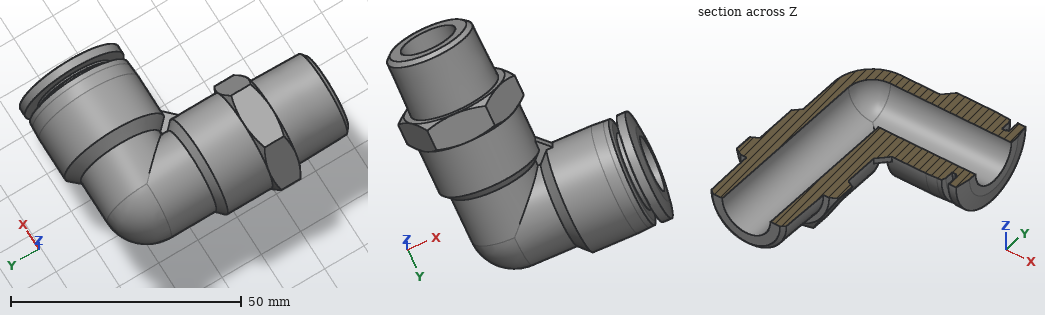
import cadquery as cq
import math

elbow_radius = 10.2
bore_radius = 6.5

shoulder_start = 11.5
shoulder_end = 13.3
swivel_radius = 12.0
hex_start = 24.7
hex_end = 31.8
hex_corner_radius = 13.9
hex_chamfer_angle = 30
thread_root_radius = 10.5
thread_tip_radius = 10.2
thread_chamfer_start = 44.85
thread_chamfer_radius = 9.15
thread_end = 45.8

socket_cone_start = 10.8
socket_radius = 12.75
socket_cone_end = socket_cone_start + socket_radius - elbow_radius
socket_taper_start = 24.0
cap_start = 26.8
cap_radius = 12.6
cap_chamfer_start = 28.05
cap_chamfer_radius = 12.55
cap_end = 28.4
cap_end_radius = 11.4
neck_radius = 9.1
neck_step_start = 29.45
neck_step_radius = 9.35
flange_start = 30.0
flange_radius = 12.65
flange_rim_end = 32.1
flange_face_radius = 8.8
socket_end = 32.8

gusset_thickness = 2.75
gusset_reach = 27.6


def turned_socket(profile):
    """Solid of revolution about X from (distance, radius) points."""
    points = [(profile[0][0], 0), *profile, (profile[-1][0], 0)]
    return cq.Workplane("XY").polyline(points).close().revolve(360, (0, 0), (1, 0))


def turned_thread_leg(profile):
    """Solid of revolution about Y from (distance, radius) points going toward -Y."""
    points = [(radius, -distance) for distance, radius in profile]
    points = [(0, -profile[0][0]), *points, (0, -profile[-1][0])]
    return cq.Workplane("XY").polyline(points).close().revolve(360, (0, 0), (0, 1))


def mitred_elbow(radius, socket_length, thread_length):
    """Two round legs crossing at the origin, with a ball closing the outer corner."""
    socket_leg = turned_socket([(0, radius), (socket_length, radius)])
    thread_leg = turned_thread_leg([(0, radius), (thread_length, radius)])
    return socket_leg.union(thread_leg).union(cq.Workplane("XY").sphere(radius))


def make_hex():
    height = hex_end - hex_start
    prism = (
        cq.Workplane("XZ", origin=(0, -hex_start, 0))
        .polygon(6, 2 * hex_corner_radius)
        .extrude(height)
    )
    chamfer_depth = (hex_corner_radius - swivel_radius) * math.tan(math.radians(hex_chamfer_angle))
    envelope = turned_thread_leg([
        (hex_start, swivel_radius),
        (hex_start + chamfer_depth, hex_corner_radius),
        (hex_end - chamfer_depth, hex_corner_radius),
        (hex_end, swivel_radius),
    ])
    return prism.intersect(envelope)


def make_gusset():
    return (
        cq.Workplane("XY")
        .polyline([
            (elbow_radius, -elbow_radius),
            (gusset_reach - socket_radius, -elbow_radius),
            (gusset_reach - socket_radius, -socket_radius),
            (swivel_radius, swivel_radius - gusset_reach),
            (elbow_radius, swivel_radius - gusset_reach),
        ])
        .close()
        .extrude(gusset_thickness / 2, both=True)
    )


swivel = turned_thread_leg([
    (shoulder_start, elbow_radius),
    (shoulder_end, swivel_radius),
    (hex_start, swivel_radius),
])
thread = turned_thread_leg([
    (hex_end, thread_root_radius),
    (thread_chamfer_start, thread_tip_radius),
    (thread_end, thread_chamfer_radius),
])
socket = turned_socket([
    (socket_cone_start, elbow_radius),
    (socket_cone_end, socket_radius),
    (socket_taper_start, socket_radius),
    (cap_start, cap_radius),
    (cap_chamfer_start, cap_chamfer_radius),
    (cap_end, cap_end_radius),
    (cap_end, neck_radius),
    (neck_step_start, neck_radius),
    (neck_step_start, neck_step_radius),
    (flange_start, neck_step_radius),
    (flange_start, flange_radius),
    (flange_rim_end, flange_radius),
    (socket_end, flange_face_radius),
])

result = mitred_elbow(elbow_radius, socket_cone_start, shoulder_start)
for section in (swivel, make_hex(), thread, socket, make_gusset()):
    result = result.union(section)
result = result.cut(mitred_elbow(bore_radius, socket_end, thread_end))